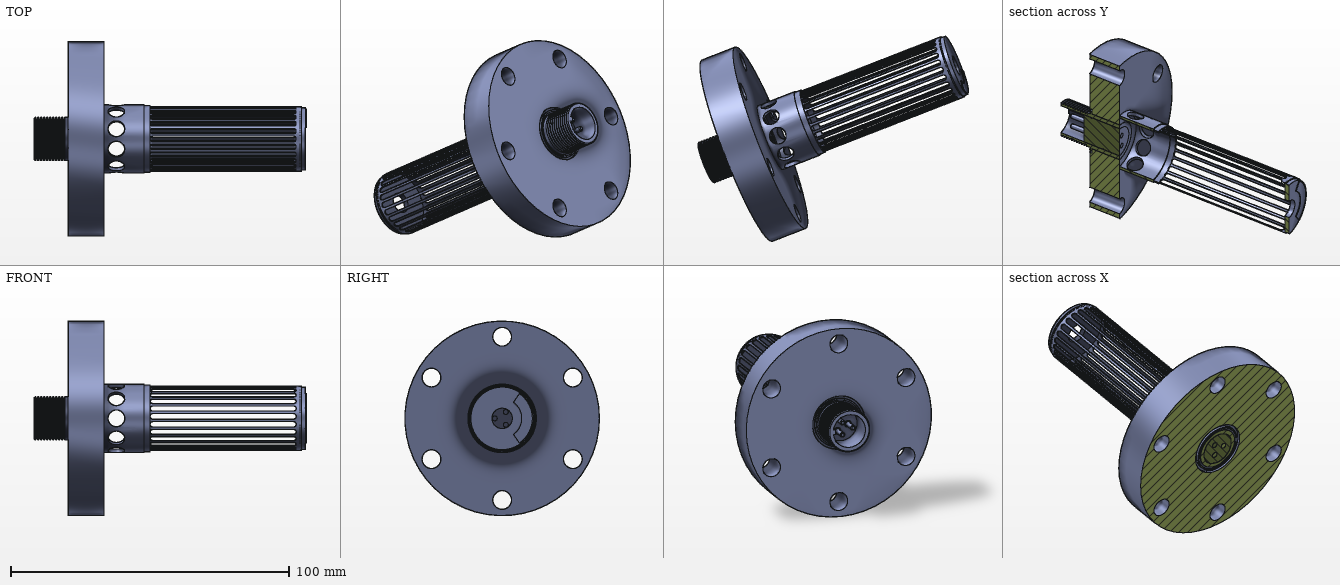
import cadquery as cq
import math

TOTAL_LENGTH = 97.7

FLANGE_FRONT = 12.2
FLANGE_BACK = 25.1
FLANGE_RADIUS = 35.0
BOLT_CIRCLE_RADIUS = 29.3
BOLT_HOLE_DIAMETER = 6.6
BOLT_HOLE_COUNT = 6
SEAT_RADIUS = 9.9
SEAT_DEPTH = 1.0

HUB_BACK = 39.5
HUB_RADIUS = 12.3
HUB_BORE_RADIUS = 10.9
VENT_CENTER_X = 29.5
VENT_DIAMETER = 6.0
VENT_COUNT = 10

COLLAR_BACK = 41.6
COLLAR_RADIUS = 12.0
CAGE_BACK = 95.9
CAGE_RADIUS = 11.6
CAGE_BORE_RADIUS = 11.2
SLOT_WIDTH = 2.0
SLOT_END = 94.1
SLOT_COUNT = 25

PLATE_THICKNESS = 0.3
CAP_BACK = TOTAL_LENGTH - PLATE_THICKNESS
CAP_FRONT = 95.5
CAP_RADIUS = CAGE_BORE_RADIUS
CAP_HOLE_DIAMETER = 7.3
PLATE_INNER_RADIUS = 7.0
PLATE_OUTER_RADIUS = 10.8
PLATE_HALF_ANGLE = 55.0

SHELL_RADIUS = 7.8
SHELL_BORE_RADIUS = 6.1
RIM_CHAMFER = 0.4
SHOULDER_RADIUS = 9.0
SHOULDER_RECESS_RADIUS = 8.4
SHOULDER_RECESS_DEPTH = 0.3
GROOVE_PITCH = 1.1
GROOVE_COUNT = 10
GROOVE_WIDTH = 0.8
GROOVE_ROOT_WIDTH = 0.3
GROOVE_DEPTH = 0.6
FIRST_GROOVE_CENTER = 0.93
KEY_WIDTH = 1.8
KEY_INNER_FACE = 5.2

INSERT_FRONT = 9.8
PIN_COUNT = 3
PIN_CIRCLE_RADIUS = 2.6
PIN_FRONT = 3.6
PIN_RADIUS = 0.9
PIN_TIP_CHAMFER = 0.34
PIN_SHOULDER_RADIUS = 1.3
PIN_SHOULDER_LENGTH = 2.0


def cylinder(radius, start, end):
    """Solid cylinder on the X axis between two X positions."""
    return cq.Workplane("YZ", origin=(start, 0, 0)).circle(radius).extrude(end - start)


def polar(radius, angle):
    """(y, z) of a point on a circle about the X axis, measured from +Y towards +Z."""
    return (radius * math.cos(math.radians(angle)), radius * math.sin(math.radians(angle)))


def make_flange():
    disc = cylinder(FLANGE_RADIUS, FLANGE_FRONT, FLANGE_BACK)
    bolt_holes = (
        cq.Workplane("YZ", origin=(FLANGE_FRONT, 0, 0))
        .polarArray(BOLT_CIRCLE_RADIUS, 90, 360, BOLT_HOLE_COUNT)
        .circle(BOLT_HOLE_DIAMETER / 2)
        .extrude(FLANGE_BACK - FLANGE_FRONT)
    )
    seat = cylinder(SEAT_RADIUS, FLANGE_FRONT, FLANGE_FRONT + SEAT_DEPTH)
    connector_hole = cylinder(SHELL_RADIUS, FLANGE_FRONT, FLANGE_BACK)
    return disc.cut(bolt_holes).cut(seat).cut(connector_hole)


def make_hub():
    hub = cylinder(HUB_RADIUS, FLANGE_BACK, HUB_BACK)
    hub = hub.cut(cylinder(HUB_BORE_RADIUS, FLANGE_BACK, HUB_BACK))
    vent_pair = (
        cq.Workplane("XZ", origin=(VENT_CENTER_X, 0, 0))
        .circle(VENT_DIAMETER / 2)
        .extrude(HUB_RADIUS, both=True)
    )
    for index in range(VENT_COUNT // 2):
        hub = hub.cut(vent_pair.rotate((0, 0, 0), (1, 0, 0), index * 360 / VENT_COUNT))
    return hub


def make_cage():
    tube = cylinder(COLLAR_RADIUS, HUB_BACK, COLLAR_BACK)
    tube = tube.union(cylinder(CAGE_RADIUS, COLLAR_BACK, CAGE_BACK))
    tube = tube.cut(cylinder(CAGE_BORE_RADIUS, HUB_BACK, CAGE_BACK))
    slot = (
        cq.Workplane("XY", origin=((COLLAR_BACK + SLOT_END) / 2, 0, 0))
        .slot2D(SLOT_END - COLLAR_BACK, SLOT_WIDTH)
        .extrude(COLLAR_RADIUS)
    )
    for index in range(SLOT_COUNT):
        tube = tube.cut(slot.rotate((0, 0, 0), (1, 0, 0), index * 360 / SLOT_COUNT))
    return tube


def make_cap():
    cap = cylinder(CAP_RADIUS, CAP_FRONT, CAP_BACK)
    cap = cap.cut(cylinder(CAP_HOLE_DIAMETER / 2, CAP_FRONT, CAP_BACK))
    plate = (
        cq.Workplane("YZ", origin=(CAP_BACK, 0, 0))
        .moveTo(*polar(PLATE_OUTER_RADIUS, -PLATE_HALF_ANGLE))
        .threePointArc((PLATE_OUTER_RADIUS, 0), polar(PLATE_OUTER_RADIUS, PLATE_HALF_ANGLE))
        .lineTo(*polar(PLATE_INNER_RADIUS, PLATE_HALF_ANGLE))
        .threePointArc((PLATE_INNER_RADIUS, 0), polar(PLATE_INNER_RADIUS, -PLATE_HALF_ANGLE))
        .close()
        .extrude(PLATE_THICKNESS)
    )
    return cap.union(plate)


def make_thread_groove(center_x):
    """Ring with a tapered section that cuts one groove into the shell."""
    return (
        cq.Workplane("XY")
        .moveTo(center_x - GROOVE_WIDTH / 2, SHELL_RADIUS)
        .lineTo(center_x - GROOVE_ROOT_WIDTH / 2, SHELL_RADIUS - GROOVE_DEPTH)
        .lineTo(center_x + GROOVE_ROOT_WIDTH / 2, SHELL_RADIUS - GROOVE_DEPTH)
        .lineTo(center_x + GROOVE_WIDTH / 2, SHELL_RADIUS)
        .close()
        .revolve(360, (0, 0, 0), (1, 0, 0))
    )


def make_shell():
    shell = cylinder(SHELL_RADIUS, 0, FLANGE_BACK).faces("<X").chamfer(RIM_CHAMFER)
    for index in range(GROOVE_COUNT):
        shell = shell.cut(make_thread_groove(FIRST_GROOVE_CENTER + index * GROOVE_PITCH))
    shoulder = cylinder(SHOULDER_RADIUS, FLANGE_FRONT, FLANGE_FRONT + SEAT_DEPTH)
    recess = cylinder(SHOULDER_RECESS_RADIUS, FLANGE_FRONT, FLANGE_FRONT + SHOULDER_RECESS_DEPTH)
    shell = shell.union(shoulder.cut(recess))
    shell = shell.cut(cylinder(SHELL_BORE_RADIUS, 0, FLANGE_BACK))
    key_height = SHELL_RADIUS - GROOVE_DEPTH - KEY_INNER_FACE
    key = (
        cq.Workplane("YZ")
        .center(KEY_INNER_FACE + key_height / 2, 0)
        .rect(key_height, KEY_WIDTH)
        .extrude(INSERT_FRONT)
        .intersect(cylinder(SHELL_BORE_RADIUS, 0, INSERT_FRONT))
    )
    return shell.union(key)


def make_pin(index):
    y, z = polar(PIN_CIRCLE_RADIUS, 180 + index * 360 / PIN_COUNT)
    shank = cylinder(PIN_RADIUS, PIN_FRONT, FLANGE_BACK).faces("<X").chamfer(PIN_TIP_CHAMFER)
    shoulder = cylinder(PIN_SHOULDER_RADIUS, INSERT_FRONT, INSERT_FRONT + PIN_SHOULDER_LENGTH)
    return shank.union(shoulder).translate((0, y, z))


def make_insert(pins):
    insert = cylinder(SHELL_BORE_RADIUS, INSERT_FRONT, FLANGE_BACK)
    for pin in pins:
        insert = insert.cut(pin)
    return insert


flange = make_flange()
hub = make_hub()
cage = make_cage()
cap = make_cap()
shell = make_shell()
pins = [make_pin(index) for index in range(PIN_COUNT)]
insert = make_insert(pins)

result = cq.Compound.makeCompound(
    [flange.val(), hub.val(), cage.val(), cap.val(), shell.val(), insert.val()]
    + [pin.val() for pin in pins]
)